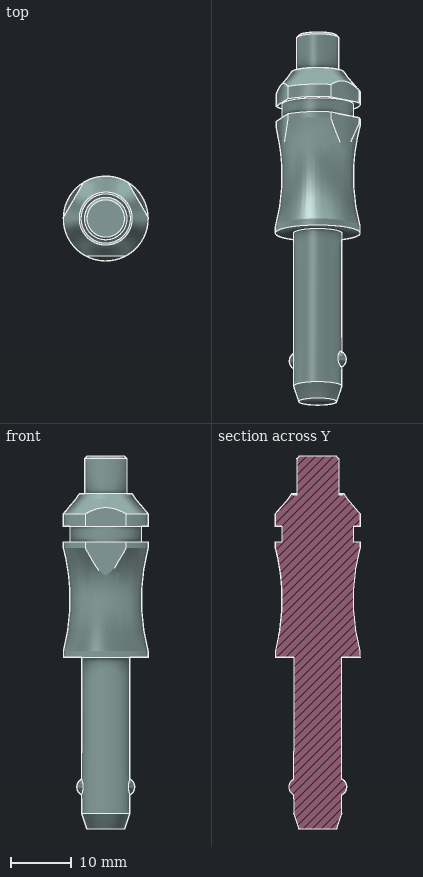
import cadquery as cq

total_height = 61.3
tip_taper_top = 2.6
grip_bottom = 28.2
lip_height = 1.05
waist_height = 37.7
grip_top = 47.2
collar_bottom = 49.7
collar_rim_top = 51.8
collar_bevel_height = 54.2
collar_top = 55.1

shaft_radius = 4.0
shaft_tip_radius = 3.1
grip_radius = 7.0
waist_radius = 5.9
bevel_radius = 4.95
collar_top_radius = 4.35
button_radius = 3.5
button_chamfer = 0.4

bore_radius = 4.05
bore_depth = 0.2

flat_count = 3
flat_distance = 6.1

ball_radius = 1.5
ball_reach = 4.8
ball_height = 6.9


def waist_arc_radius(half_height):
    """Radius of the arc that is vertical at the waist and ends at the grip radius."""
    flare = grip_radius - waist_radius
    return (half_height**2 + flare**2) / (2 * flare)


def make_body():
    """Revolved shaft, waisted grip, neck and bevelled collar."""
    lower_lip = grip_bottom + lip_height
    upper_lip = grip_top - lip_height
    profile = (
        cq.Workplane("XZ")
        .lineTo(shaft_tip_radius, 0)
        .lineTo(shaft_radius, tip_taper_top)
        .lineTo(shaft_radius, grip_bottom)
        .lineTo(grip_radius, grip_bottom)
        .lineTo(grip_radius, lower_lip)
        .radiusArc((waist_radius, waist_height), waist_arc_radius(waist_height - lower_lip))
        .radiusArc((grip_radius, upper_lip), waist_arc_radius(upper_lip - waist_height))
        .lineTo(grip_radius, grip_top)
        .lineTo(waist_radius, grip_top)
        .lineTo(waist_radius, collar_bottom)
        .lineTo(grip_radius, collar_bottom)
        .lineTo(grip_radius, collar_rim_top)
        .lineTo(bevel_radius, collar_bevel_height)
        .lineTo(collar_top_radius, collar_top)
        .lineTo(0, collar_top)
        .close()
    )
    return profile.revolve(360, (0, 0, 0), (0, 1, 0))


def make_flat_cutter(angle):
    """Block whose inner face trims one flat on the collar and upper grip."""
    block = cq.Workplane("XY").box(
        grip_radius, 2 * grip_radius, collar_top - waist_height, centered=(False, True, False)
    )
    return block.translate((flat_distance, 0, waist_height)).rotate((0, 0, 0), (0, 0, 1), angle)


def make_button():
    """Release button with a chamfered top, standing in the bore of the collar."""
    base = collar_top - bore_depth
    button = cq.Workplane("XY").workplane(offset=base).circle(button_radius).extrude(total_height - base)
    return button.faces(">Z").chamfer(button_chamfer)


def make_ball(side):
    """Locking ball protruding from one side of the shaft."""
    return cq.Workplane("XY").sphere(ball_radius).translate(
        (side * (ball_reach - ball_radius), 0, ball_height)
    )


result = make_body()
for index in range(flat_count):
    result = result.cut(make_flat_cutter(-90 + index * 360 / flat_count))

bore = cq.Workplane("XY").workplane(offset=collar_top - bore_depth).circle(bore_radius).extrude(bore_depth)
result = result.cut(bore).union(make_button())

for side in (-1, 1):
    result = result.union(make_ball(side))